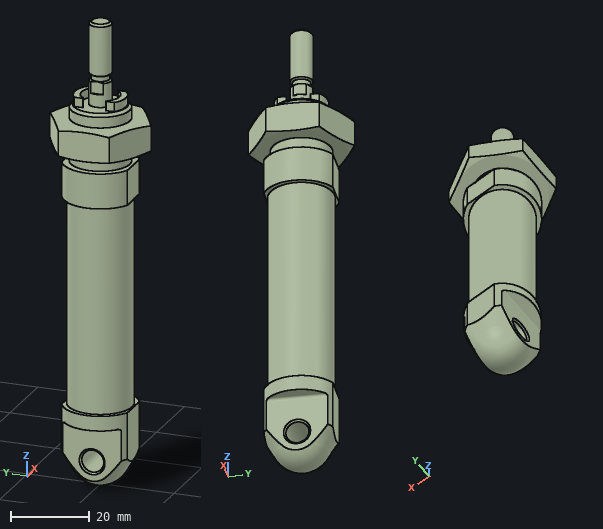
import cadquery as cq
import math


rod_end_z = 118.0
shoulder_z = rod_end_z - 38.0
boss_length = 15.5
boss_top_z = shoulder_z + boss_length
collar_length = 9.5
collar_bottom_z = shoulder_z - collar_length
flange_top_z = 14.0
flange_bottom_z = 10.0

rod_diameter = 6.0
rod_tip_diameter = 4.8
rod_tip_chamfer = (rod_diameter - rod_tip_diameter) / 2
thread_length = 16.0
undercut_length = 2.0
undercut_diameter = 4.8
undercut_cone_angle = math.radians(30)
rod_flat_width = 5.0
rod_flat_length = 3.0
rod_socket_depth = boss_length

boss_diameter = 16.0
boss_top_diameter = 14.38
boss_chamfer = (boss_diameter - boss_top_diameter) / 2
lug_outer_diameter = 14.0
lug_inner_diameter = 10.3
lug_width = 8.75
lug_gap = 6.3
lug_height = 2.5

cap_diameter = 20.0
cap_flat_width = 18.0
barrel_diameter = 17.3
clevis_width = 12.0
clevis_fillet = 0.8
nose_radius = 8.0
nose_cone_angle = math.radians(30)
pin_diameter = 6.0
pin_chamfer = 0.5

nut_across_flats = 24.0
nut_face_diameter = 23.7
nut_height = 8.0
nut_bottom_z = shoulder_z + 3.8
nut_chamfer_angle = math.radians(15)
nut_corner_radius = nut_across_flats / math.sqrt(3)
nut_chamfer_drop = (nut_corner_radius - nut_face_diameter / 2) * math.tan(nut_chamfer_angle)


def cylinder(diameter, bottom_z, height):
    return cq.Workplane("XY", origin=(0, 0, bottom_z)).circle(diameter / 2).extrude(height)


def revolved(outline):
    """Turn an XZ outline around the Z axis."""
    return outline.close().revolve(360, (0, 0, 0), (0, 1, 0))


def make_rod():
    """Rod with chamfered tip, thread undercut and two spanner flats."""
    bottom_z = boss_top_z - rod_socket_depth
    rod = cylinder(rod_diameter, bottom_z, rod_end_z - bottom_z)
    rod = rod.faces(">Z").chamfer(rod_tip_chamfer)

    flat_top_z = rod_end_z - thread_length
    undercut_top_z = flat_top_z + undercut_length
    rod_radius = rod_diameter / 2
    waist_radius = undercut_diameter / 2
    cone_height = (rod_radius - waist_radius) * math.tan(undercut_cone_angle)
    undercut_outline = (
        cq.Workplane("XZ")
        .moveTo(rod_radius, flat_top_z)
        .lineTo(waist_radius, flat_top_z + cone_height)
        .lineTo(waist_radius, undercut_top_z - cone_height)
        .lineTo(rod_radius, undercut_top_z)
    )

    flat_bottom_z = flat_top_z - rod_flat_length
    flat_cut_height = rod_flat_length + cone_height
    between_flats = cq.Workplane("XY", origin=(0, 0, flat_bottom_z))
    between_flats = between_flats.rect(rod_flat_width, rod_diameter).extrude(flat_cut_height)
    flat_cuts = cylinder(2 * rod_diameter, flat_bottom_z, flat_cut_height).cut(between_flats)
    return rod.cut(revolved(undercut_outline)).cut(flat_cuts)


def make_rear_nose():
    """Turned rear end: flange cylinder, cone and a tangent spherical nose round the pin axis."""
    cap_radius = cap_diameter / 2
    tangent_r = nose_radius * math.cos(nose_cone_angle)
    tangent_z = -nose_radius * math.sin(nose_cone_angle)
    cone_top_z = tangent_z + (cap_radius - tangent_r) / math.tan(nose_cone_angle)
    arc_middle_angle = (nose_cone_angle + math.pi / 2) / 2
    arc_middle = (nose_radius * math.cos(arc_middle_angle), -nose_radius * math.sin(arc_middle_angle))
    outline = (
        cq.Workplane("XZ")
        .moveTo(0, -nose_radius)
        .threePointArc(arc_middle, (tangent_r, tangent_z))
        .lineTo(cap_radius, cone_top_z)
        .lineTo(cap_radius, flange_top_z)
        .lineTo(0, flange_top_z)
    )
    return revolved(outline)


def make_clevis_cut(side):
    """Stock removed beside the tongue; its upper inside edge rounds the tongue into the flange."""
    depth = cap_diameter
    height = flange_bottom_z + 2 * nose_radius
    center = (side * (clevis_width + depth) / 2, 0, flange_bottom_z - height / 2)
    block = cq.Workplane("XY").box(depth, 2 * cap_diameter, height)
    inner_side = "<X" if side > 0 else ">X"
    return block.edges(inner_side).edges(">Z").fillet(clevis_fillet).translate(center)


def make_pin_hole():
    """Cross hole along X with a chamfer at both mouths."""
    half_width = clevis_width / 2
    hole = cq.Workplane("YZ").circle(pin_diameter / 2).extrude(half_width, both=True)
    for side in (-1, 1):
        mouth = (
            cq.Workplane("YZ", origin=(side * half_width, 0, 0))
            .circle(pin_diameter / 2 + pin_chamfer)
            .workplane(offset=-side * pin_chamfer)
            .circle(pin_diameter / 2)
            .loft()
        )
        hole = hole.union(mouth)
    return hole


def make_lugs():
    """Two ring segments on opposite Y sides of the rod, with a straight gap between them."""
    ring = cylinder(lug_outer_diameter, boss_top_z, lug_height)
    ring = ring.cut(cylinder(lug_inner_diameter, boss_top_z, lug_height))
    base = cq.Workplane("XY", origin=(0, 0, boss_top_z))
    strip = base.rect(lug_width, lug_outer_diameter).extrude(lug_height)
    gap = base.rect(lug_outer_diameter, lug_gap).extrude(lug_height)
    return ring.intersect(strip).cut(gap)


def make_housing():
    """Boss, collar, barrel and rear clevis as one body, bored for the rod."""
    collar = cylinder(cap_diameter, collar_bottom_z, collar_length)
    rear = make_rear_nose()
    cap_height = shoulder_z + nose_radius
    flats = cq.Workplane("XY", origin=(0, 0, -nose_radius))
    flats = flats.rect(2 * cap_diameter, cap_flat_width).extrude(cap_height)

    for side in (-1, 1):
        rear = rear.cut(make_clevis_cut(side))
    rear = rear.intersect(flats).cut(make_pin_hole())

    barrel = cylinder(barrel_diameter, flange_top_z, collar_bottom_z - flange_top_z)
    boss = cylinder(boss_diameter, shoulder_z, boss_length).faces(">Z").chamfer(boss_chamfer)
    socket = cylinder(rod_diameter, boss_top_z - rod_socket_depth, rod_socket_depth)
    housing = rear.union(barrel).union(collar.intersect(flats)).union(boss).union(make_lugs())
    return housing.cut(socket)


def make_nut():
    """Hexagon nut with corners on the Y axis, chamfered at both ends."""
    hexagon = cq.Workplane("XY", origin=(0, 0, nut_bottom_z))
    hexagon = hexagon.polygon(6, 2 * nut_corner_radius).extrude(nut_height)
    hexagon = hexagon.rotate((0, 0, 0), (0, 0, 1), 90)

    face_radius = nut_face_diameter / 2
    nut_top_z = nut_bottom_z + nut_height
    chamfer_outline = (
        cq.Workplane("XZ")
        .moveTo(0, nut_bottom_z)
        .lineTo(face_radius, nut_bottom_z)
        .lineTo(nut_corner_radius, nut_bottom_z + nut_chamfer_drop)
        .lineTo(nut_corner_radius, nut_top_z - nut_chamfer_drop)
        .lineTo(face_radius, nut_top_z)
        .lineTo(0, nut_top_z)
    )
    bore = cylinder(boss_diameter, nut_bottom_z, nut_height)
    return hexagon.intersect(revolved(chamfer_outline)).cut(bore)


rod = make_rod()
housing = make_housing()
nut = make_nut()

result = cq.Compound.makeCompound([rod.val(), housing.val(), nut.val()])